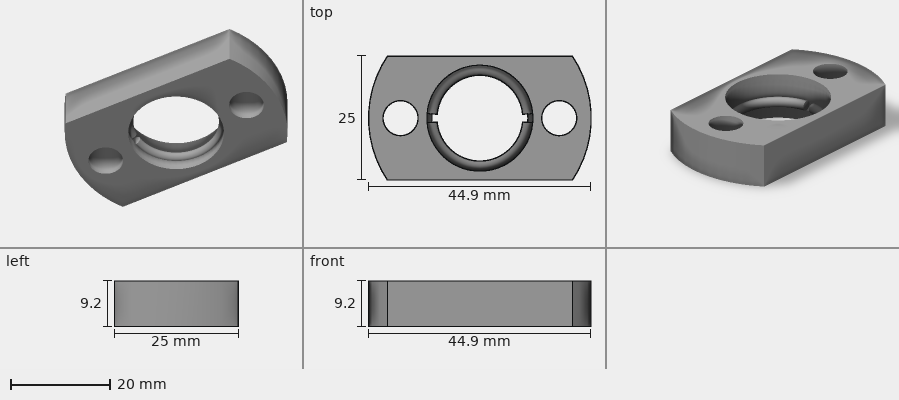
import cadquery as cq

length = 44.9
width = 25.0
height = 9.2
flat_length = 37.3

hole_diameter = 7.0
hole_spacing = 32.0

ring_radius = 9.65
ring_wire_radius = 1.05
ring_height = 3.55
ring_gap_angle = 10.0
ring_sweep_angle = 180.0 - ring_gap_angle
upper_bore_radius = ring_radius + ring_wire_radius
lower_bore_radius = ring_radius


def make_plate():
    """Flat-sided plate with a shallow arc at each end."""
    return (
        cq.Workplane("XY")
        .moveTo(-flat_length / 2, -width / 2)
        .lineTo(flat_length / 2, -width / 2)
        .threePointArc((length / 2, 0), (flat_length / 2, width / 2))
        .lineTo(-flat_length / 2, width / 2)
        .threePointArc((-length / 2, 0), (-flat_length / 2, -width / 2))
        .close()
        .extrude(height)
    )


def make_mounting_holes():
    return (
        cq.Workplane("XY")
        .pushPoints([(-hole_spacing / 2, 0), (hole_spacing / 2, 0)])
        .circle(hole_diameter / 2)
        .extrude(height)
    )


def make_bore():
    """Stepped bore whose shoulder is a rounded seat for the ring."""
    upper_bore = (
        cq.Workplane("XY", origin=(0, 0, ring_height))
        .circle(upper_bore_radius)
        .extrude(height - ring_height)
    )
    lower_bore = cq.Workplane("XY").circle(lower_bore_radius).extrude(height)
    seat = cq.Workplane(cq.Solid.makeTorus(ring_radius, ring_wire_radius, cq.Vector(0, 0, ring_height)))
    return upper_bore.union(lower_bore).union(seat)


def make_ring_half(start_angle):
    """Round-wire arc that starts at the given angle about the bore axis."""
    return (
        cq.Workplane("XZ")
        .center(ring_radius, ring_height)
        .circle(ring_wire_radius)
        .revolve(ring_sweep_angle, (-ring_radius, 0), (-ring_radius, 1))
        .rotate((0, 0, 0), (0, 0, 1), start_angle)
    )


result = make_plate().cut(make_mounting_holes()).cut(make_bore())
for side_angle in (0, 180):
    result = result.union(make_ring_half(side_angle + ring_gap_angle / 2))